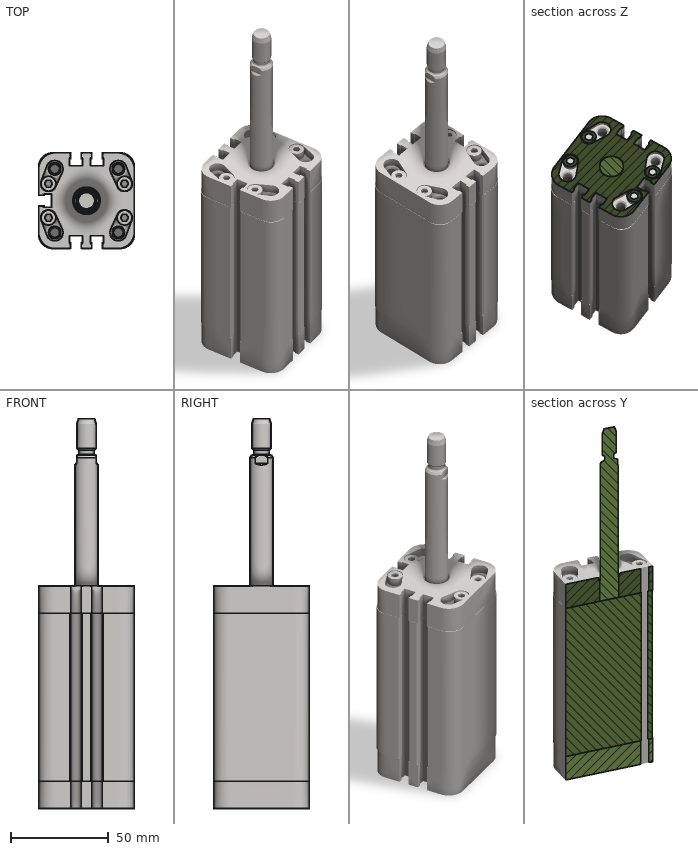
import cadquery as cq
import math


total_height = 199.5
cap_height = 14.0
tube_length = 86.0
tube_bottom = cap_height
front_cap_bottom = tube_bottom + tube_length
body_top = front_cap_bottom + cap_height

tube_width = 49.0
cap_width = 48.9
tube_corner_radius = 7.5
cap_corner_radius = 8.2

slot_opening = 5.4
slot_inner_width = 6.5
slot_offset = 5.4
slot_depth = 6.5
lip_cap = 2.4
lip_tube = 3.0
mouth_chamfer = 0.5

thread_spacing = 32.5
screw_spacing_x = 39.0
screw_spacing_y = 17.4
thread_offset = thread_spacing / 2
screw_x = screw_spacing_x / 2
screw_y = screw_spacing_y / 2
pocket_hole_end = 8.5
pocket_screw_end = 8.0
pocket_depth = 4.5
head_diameter = 7.5
head_height = 4.2
socket_corners = 4.0
socket_depth = 2.5
hexagon_sides = 6
thread_hole_diameter = 5.0
thread_hole_mouth = 6.4

rod_diameter = 12.0
rod_shoulder_z = 180.7
rod_shoulder_diameter = 10.4
rod_shoulder_chamfer_height = 1.2
rod_flats_width = 10.0
rod_flats_bottom = 176.8
neck_diameter = 8.0
neck_taper = 0.5
thread_diameter = 10.0
thread_bottom = 184.3
tip_diameter = 8.4
tip_chamfer_height = 2.8
seal_diameter = 12.5
seal_mouth_diameter = 14.0
seal_depth = 2.0


def square_prism(width, corner_radius, bottom, height):
    """Square block with rounded vertical edges."""
    return (
        cq.Workplane("XY", origin=(0, 0, bottom))
        .rect(width, width)
        .extrude(height)
        .edges("|Z")
        .fillet(corner_radius)
    )


def slot_cutter(width, depth, lip, chamfer, offset, angle, bottom, height):
    """T-slot cutter for the -Y side, then turned about Z by the given angle."""
    face = -width / 2
    mouth = slot_opening / 2
    inner = slot_inner_width / 2
    half = [(mouth + chamfer, face), (mouth, face + chamfer), (mouth, face + lip),
            (inner, face + lip), (inner, face + depth)]
    if chamfer == 0:
        half = half[1:]
    outline = half + [(-x, y) for x, y in reversed(half)]
    return (
        cq.Workplane("XY", origin=(0, 0, bottom))
        .polyline([(x + offset, y) for x, y in outline])
        .close()
        .extrude(height)
        .rotate((0, 0, 0), (0, 0, 1), angle)
    )


def slotted_prism(width, corner_radius, depth, lip, chamfer, bottom, height):
    """Rounded square block with two slots on -Y, two on +Y and one on -X."""
    body = square_prism(width, corner_radius, bottom, height)
    slots = [(-slot_offset, 0), (slot_offset, 0), (-slot_offset, 180), (slot_offset, 180), (0, -90)]
    for offset, angle in slots:
        body = body.cut(slot_cutter(width, depth, lip, chamfer, offset, angle, bottom, height))
    return body


def make_cap(bottom):
    """Plain end cap with the slots running through it."""
    return slotted_prism(
        cap_width, cap_corner_radius, slot_depth, lip_cap, 0, bottom, cap_height
    )


def make_tube():
    """Profiled barrel; its slots have chamfered mouths."""
    return slotted_prism(
        tube_width, tube_corner_radius, slot_depth, lip_tube, mouth_chamfer, tube_bottom, tube_length
    )


def pocket_cutter(x_side, y_side):
    """Slanted, slightly tapered pocket joining a threaded hole and a screw seat."""
    x_run = screw_x - thread_offset
    y_run = screw_y - thread_offset
    hole_radius = pocket_hole_end / 2
    screw_radius = pocket_screw_end / 2
    run = math.hypot(x_run, y_run)
    direction = math.atan2(y_run, x_run)
    lean = math.acos((hole_radius - screw_radius) / run)

    def on_hole_end(angle):
        return thread_offset + hole_radius * math.cos(angle), thread_offset + hole_radius * math.sin(angle)

    def on_screw_end(angle):
        return screw_x + screw_radius * math.cos(angle), screw_y + screw_radius * math.sin(angle)

    pocket = (
        cq.Workplane("XY", origin=(0, 0, body_top - pocket_depth))
        .moveTo(*on_hole_end(direction + lean))
        .threePointArc(on_hole_end(direction + math.pi), on_hole_end(direction - lean))
        .lineTo(*on_screw_end(direction - lean))
        .threePointArc(on_screw_end(direction), on_screw_end(direction + lean))
        .close()
        .extrude(pocket_depth)
    )
    if x_side < 0:
        pocket = pocket.mirror("YZ")
    if y_side < 0:
        pocket = pocket.mirror("XZ")
    return pocket


def screw_head(x_side, y_side):
    """Socket head standing on the pocket floor, one piece with the cap."""
    floor = body_top - pocket_depth
    socket_floor = floor + head_height - socket_depth
    centre = (x_side * screw_x, y_side * screw_y)
    head = cq.Workplane("XY", origin=(*centre, floor)).circle(head_diameter / 2).extrude(head_height)
    socket = cq.Workplane("XY", origin=(*centre, socket_floor)).polygon(hexagon_sides, socket_corners)
    return head.cut(socket.extrude(socket_depth))


def thread_hole_cutter(x_side, y_side):
    """Threaded hole from the pocket floor through the cap, with a 45 degree countersink."""
    floor = body_top - pocket_depth
    hole_radius = thread_hole_diameter / 2
    mouth_radius = thread_hole_mouth / 2
    return (
        cq.Workplane("XZ")
        .moveTo(0, front_cap_bottom)
        .lineTo(hole_radius, front_cap_bottom)
        .lineTo(hole_radius, floor - (mouth_radius - hole_radius))
        .lineTo(mouth_radius, floor)
        .lineTo(0, floor)
        .close()
        .revolve()
        .translate((x_side * thread_offset, y_side * thread_offset, 0))
    )


def make_front_cap():
    """End cap with mounting pockets, screw heads and the rod bore."""
    cap = make_cap(front_cap_bottom)
    for x_side in (-1, 1):
        for y_side in (-1, 1):
            cap = cap.cut(pocket_cutter(x_side, y_side)).union(screw_head(x_side, y_side))
            cap = cap.cut(thread_hole_cutter(x_side, y_side))
    return cap.cut(rod_bore())


def rod_bore():
    """Bore fitting the rod, with a shallow seal recess and a 45 degree mouth at the top."""
    rod_radius = rod_diameter / 2
    seal_radius = seal_diameter / 2
    mouth_radius = seal_mouth_diameter / 2
    return (
        cq.Workplane("XZ")
        .moveTo(0, front_cap_bottom)
        .lineTo(rod_radius, front_cap_bottom)
        .lineTo(rod_radius, body_top - seal_depth)
        .lineTo(seal_radius, body_top - seal_depth)
        .lineTo(seal_radius, body_top - (mouth_radius - seal_radius))
        .lineTo(mouth_radius, body_top)
        .lineTo(0, body_top)
        .close()
        .revolve()
    )


def rod_flat_cutter():
    """Material removed beside the +X wrench flat, ending in a 45 degree run-out."""
    flat = rod_flats_width / 2
    outer = rod_diameter
    return (
        cq.Workplane("XZ")
        .moveTo(flat, rod_flats_bottom)
        .lineTo(flat, rod_shoulder_z)
        .lineTo(outer, rod_shoulder_z)
        .lineTo(outer, rod_flats_bottom - (outer - flat))
        .close()
        .extrude(rod_diameter / 2, both=True)
    )


def make_rod():
    """Turned rod with a relief neck, a chamfered thread and two wrench flats."""
    rod_radius = rod_diameter / 2
    neck_radius = neck_diameter / 2
    thread_radius = thread_diameter / 2
    rod = (
        cq.Workplane("XZ")
        .moveTo(0, front_cap_bottom)
        .lineTo(rod_radius, front_cap_bottom)
        .lineTo(rod_radius, rod_shoulder_z - rod_shoulder_chamfer_height)
        .lineTo(rod_shoulder_diameter / 2, rod_shoulder_z)
        .lineTo(neck_radius + neck_taper, rod_shoulder_z)
        .lineTo(neck_radius, rod_shoulder_z + neck_taper)
        .lineTo(neck_radius, thread_bottom - (thread_radius - neck_radius))
        .lineTo(thread_radius, thread_bottom)
        .lineTo(thread_radius, total_height - tip_chamfer_height)
        .lineTo(tip_diameter / 2, total_height)
        .lineTo(0, total_height)
        .close()
        .revolve()
    )
    flat = rod_flat_cutter()
    return rod.cut(flat).cut(flat.mirror("YZ"))


rear_cap = make_cap(0)
tube = make_tube()
front_cap = make_front_cap()
rod = make_rod()

result = cq.Compound.makeCompound([rear_cap.val(), tube.val(), front_cap.val(), rod.val()])